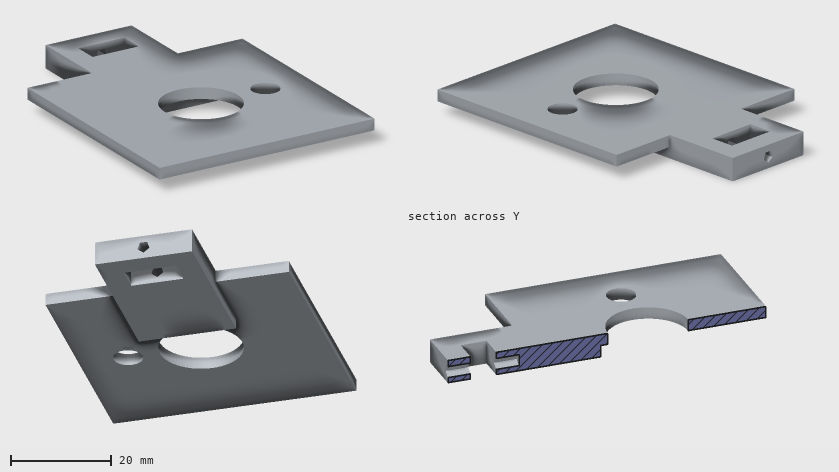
import cadquery as cq

plate_side = 50.0
total_length = 67.5
total_height = 5.0
plate_thickness = total_height / 2

tab_length = 32.5
tab_width = 20.0

main_hole_diameter = 17.0
small_hole_diameter = 6.0
small_hole_offset = 15.0

window_length = 5.5
window_width = 10.7
end_wall = 4.8

bore_sides = 5
bore_corner_radius = 1.3
bore_depth_past_window = end_wall

plate_right = plate_side / 2
tab_left = plate_right - total_length
window_center_x = tab_left + end_wall + window_length / 2
bore_length = end_wall + window_length + bore_depth_past_window


def make_plate():
    return (
        cq.Workplane("XY")
        .workplane(offset=total_height - plate_thickness)
        .rect(plate_side, plate_side)
        .extrude(plate_thickness)
    )


def make_tab():
    return (
        cq.Workplane("XY")
        .center(tab_left + tab_length / 2, 0)
        .rect(tab_length, tab_width)
        .extrude(total_height)
    )


def make_round_hole(diameter, y):
    return cq.Workplane("XY").center(0, y).circle(diameter / 2).extrude(total_height)


def make_window():
    return (
        cq.Workplane("XY")
        .center(window_center_x, 0)
        .rect(window_length, window_width)
        .extrude(total_height)
    )


def make_bore():
    end_face = cq.Plane(
        origin=(tab_left, 0, total_height / 2), xDir=(0, 0, -1), normal=(1, 0, 0)
    )
    return (
        cq.Workplane(end_face)
        .polygon(bore_sides, 2 * bore_corner_radius)
        .extrude(bore_length)
    )


result = (
    make_plate()
    .union(make_tab())
    .cut(make_round_hole(main_hole_diameter, 0))
    .cut(make_round_hole(small_hole_diameter, small_hole_offset))
    .cut(make_window())
    .cut(make_bore())
)